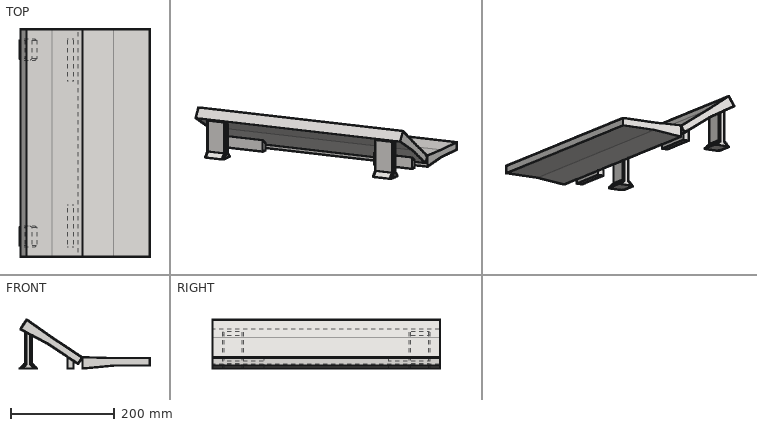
import cadquery as cq
import math

bench_width = 440.0
overall_length = 251.2
overall_height = 95.0

panel_length = 130.2
panel_knee = 60.5
thick_end = 22.5
thin_end = 15.0
top_drop = 1.8

recline_angle = 33.5

foot_length = 33.5
shaft_thickness = 13.0
foot_height = 10.0
leg_width = 41.0
leg_chamfer = 3.0
leg_center_y = 180.5

block_x = 92.0
block_thickness = 12.5
block_width = 81.0
block_center_y = leg_center_y + (leg_width - block_width) / 2

seat_x = overall_length - panel_length

tilt_angle = math.radians(recline_angle)
backrest_top_x = seat_x - panel_length * math.cos(tilt_angle) + top_drop * math.sin(tilt_angle)


def panel_profile():
    """Section points, measured from the top corner of the thick end."""
    thin_bottom = -top_drop - thin_end
    return [
        (0, 0),
        (panel_knee, -top_drop),
        (panel_length, -top_drop),
        (panel_length, thin_bottom),
        (panel_knee, thin_bottom),
        (0, -thick_end),
    ]


def tilt(point):
    """Turn a panel section point to the recline angle and set it in place."""
    along, up = point
    x = backrest_top_x + along * math.cos(tilt_angle) + up * math.sin(tilt_angle)
    z = overall_height - along * math.sin(tilt_angle) + up * math.cos(tilt_angle)
    return (x, z)


def extrude_across(points, width, center_y=0.0):
    """Extrude an XZ outline along Y, centred on center_y."""
    solid = cq.Workplane("XZ").polyline(points).close().extrude(width / 2, both=True)
    return solid.translate((0, center_y, 0))


def make_seat():
    points = [(seat_x + x, thick_end + z) for x, z in panel_profile()]
    return extrude_across(points, bench_width)


def make_backrest():
    return extrude_across([tilt(point) for point in panel_profile()], bench_width)


def space_above_underside():
    """Everything above the underside of the backrest, for trimming supports."""
    underside = [tilt(point) for point in panel_profile()[3:]]
    low_end_x = underside[0][0]
    high_end_x = underside[-1][0]
    ceiling = 2 * overall_height
    points = underside + [(high_end_x, ceiling), (low_end_x, ceiling)]
    return extrude_across(points, bench_width)


def make_leg(center_y):
    shaft_left = (foot_length - shaft_thickness) / 2
    shaft_right = shaft_left + shaft_thickness
    points = [
        (0, 0),
        (foot_length, 0),
        (shaft_right, foot_height),
        (shaft_right, overall_height),
        (shaft_left, overall_height),
        (shaft_left, foot_height),
    ]
    leg = extrude_across(points, leg_width)
    end_edges = leg.faces("<Y or >Y").edges("not #Z")
    leg = end_edges.chamfer(leg_chamfer)
    return leg.translate((0, center_y, 0)).cut(space_above_underside())


def make_block(center_y):
    right = block_x + block_thickness
    points = [(block_x, 0), (right, 0), (right, overall_height), (block_x, overall_height)]
    return extrude_across(points, block_width, center_y).cut(space_above_underside())


seat = make_seat()
backrest = make_backrest()
legs = [make_leg(side * leg_center_y) for side in (-1, 1)]
blocks = [make_block(side * block_center_y) for side in (-1, 1)]

result = cq.Compound.makeCompound(
    [seat.val(), backrest.val()]
    + [leg.solids().val() for leg in legs]
    + [block.solids().val() for block in blocks]
)